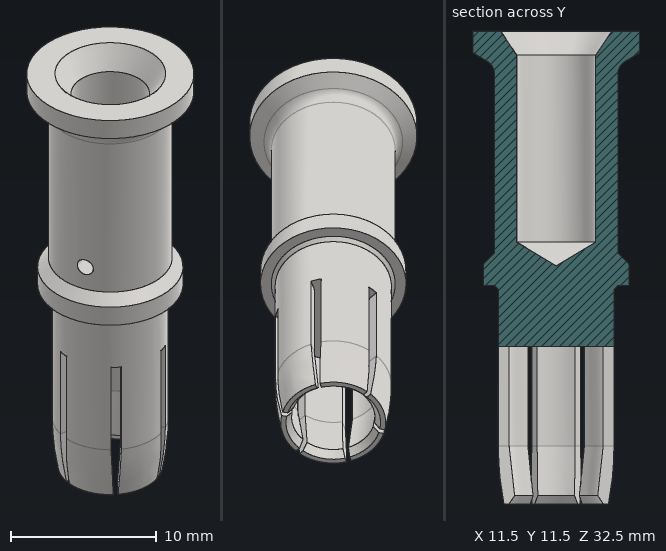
import cadquery as cq
import math

total_length = 32.5
taper_height = 4.0
slot_top = 10.82
collar_bottom = 15.0
collar_top = 16.5
flange_thickness = 1.5
neck_height = 30.42

flange_radius = 5.75
body_radius = 4.25
collar_radius = 5.0
shank_radius = 4.0
shank_relief = 0.25

flange_underside_angle = math.radians(30)
neck_fillet = 1.0

mouth_radius = 3.8
bore_radius = 2.7
mouth_depth = 1.65
bore_floor = 18.0
drill_point_angle = math.radians(118)

inspection_diameter = 1.2
inspection_height = 19.08

socket_radius = 3.25
socket_depth = slot_top
lip_flare = 0.4
lip_height = 0.6
finger_count = 6
slot_width = 0.7
finger_bend = 0.4


def revolve_profile(profile):
    """Revolve an outline of (radius, height) points about the Z axis."""
    return profile.close().revolve(360, (0, 0, 0), (0, 1, 0))


def outer_body():
    flange_bottom = total_length - flange_thickness
    arc_turn = math.pi / 2 - flange_underside_angle
    arc_center_x = body_radius + neck_fillet
    neck_radius = arc_center_x - neck_fillet * math.cos(arc_turn)
    neck_bottom = neck_height - neck_fillet * math.sin(arc_turn)
    arc_middle = (
        arc_center_x - neck_fillet * math.cos(arc_turn / 2),
        neck_bottom + neck_fillet * math.sin(arc_turn / 2),
    )
    taper_radius = (taper_height**2 + finger_bend**2) / (2 * finger_bend)
    half_turn = math.asin(taper_height / taper_radius) / 2
    taper_middle = (
        shank_radius - taper_radius * (1 - math.cos(half_turn)),
        taper_height - taper_radius * math.sin(half_turn),
    )
    profile = (
        cq.Workplane("XZ")
        .moveTo(0, 0)
        .lineTo(shank_radius - finger_bend, 0)
        .threePointArc(taper_middle, (shank_radius, taper_height))
        .lineTo(shank_radius, collar_bottom - shank_relief)
        .lineTo(shank_radius + shank_relief, collar_bottom)
        .lineTo(collar_radius, collar_bottom)
        .lineTo(collar_radius, collar_top)
        .lineTo(body_radius, collar_top + collar_radius - body_radius)
        .lineTo(body_radius, neck_bottom)
        .threePointArc(arc_middle, (neck_radius, neck_height))
        .lineTo(flange_radius, flange_bottom)
        .lineTo(flange_radius, total_length)
        .lineTo(0, total_length)
    )
    return revolve_profile(profile)


def upper_bore():
    """Blind bore with a conical floor and a flared mouth."""
    point_depth = bore_radius / math.tan(drill_point_angle / 2)
    profile = (
        cq.Workplane("XZ")
        .moveTo(0, bore_floor - point_depth)
        .lineTo(bore_radius, bore_floor)
        .lineTo(bore_radius, total_length - mouth_depth)
        .lineTo(mouth_radius, total_length)
        .lineTo(0, total_length)
    )
    return revolve_profile(profile)


def finger_socket():
    """Lower bore, narrowing where the fingers bend inward, with a flared lip at the tips."""
    tip_radius = socket_radius - finger_bend
    profile = (
        cq.Workplane("XZ")
        .lineTo(tip_radius + lip_flare, 0)
        .lineTo(tip_radius, lip_height)
        .lineTo(socket_radius, taper_height)
        .lineTo(socket_radius, socket_depth)
        .lineTo(0, socket_depth)
    )
    return revolve_profile(profile)


def finger_slot(angle):
    """Radial slot whose sides close in as the neighbouring fingers bend."""
    half_width = slot_width / 2
    half_tip_width = half_width - finger_bend * math.sin(math.pi / finger_count)
    return (
        cq.Workplane("YZ")
        .polyline([
            (-half_tip_width, 0),
            (half_tip_width, 0),
            (half_width, taper_height),
            (half_width, slot_top),
            (-half_width, slot_top),
            (-half_width, taper_height),
        ])
        .close()
        .extrude(flange_radius)
        .rotate((0, 0, 0), (0, 0, 1), angle)
    )


def inspection_hole():
    return (
        cq.Workplane("XZ")
        .center(0, inspection_height)
        .circle(inspection_diameter / 2)
        .extrude(flange_radius)
    )


result = outer_body().cut(upper_bore()).cut(finger_socket()).cut(inspection_hole())
for index in range(finger_count):
    result = result.cut(finger_slot(index * 360 / finger_count))